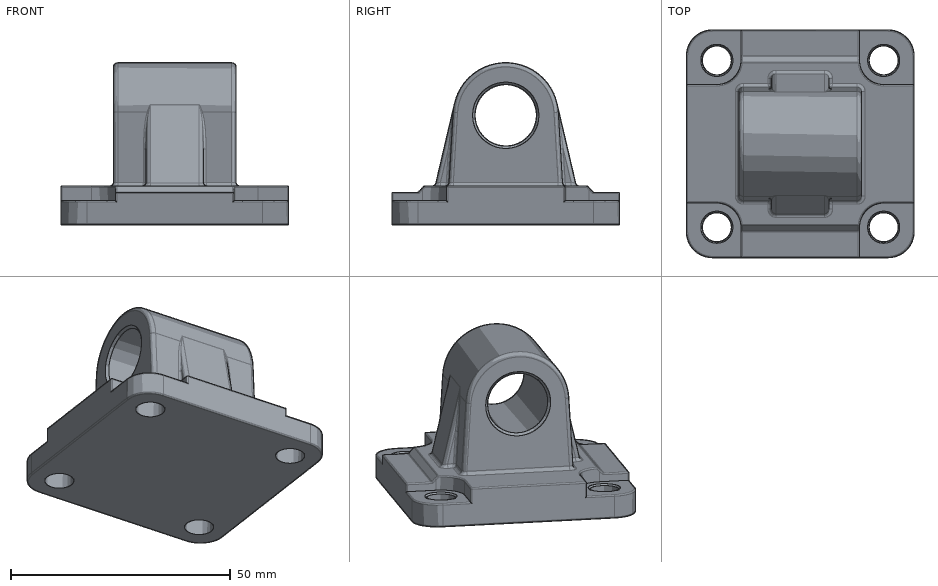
import cadquery as cq
import math

PLATE_SIZE = 52.0
PLATE_HEIGHT = 8.9
PLATE_CORNER_RADIUS = 6.0
EDGE_ROUND = 0.3

SHELF_HEIGHT = 7.45
SLOPE_START = 18.55

HOLE_OFFSET = 19.05
HOLE_DIAMETER = 6.6
HOLE_CHAMFER = 0.35
PAD_HEIGHT = 5.5
PAD_RADIUS = 5.5

LUG_WIDTH = 28.0
LUG_RADIUS = 12.0
LUG_DRAFT = 3.4
LUG_ROUND = 1.0
BORE_HEIGHT = 25.0
BORE_DIAMETER = 14.0
BORE_CHAMFER = 0.55

RIB_WIDTH = 13.1
RIB_SLOPE = 13.2
RIB_ROUND = 1.0
RIB_JOINT_FILLET = 0.6
RIB_SINK = 0.005

BASE_FILLET = 0.85
EMBED_DEPTH = 2.6

TOLERANCE = 0.005

FOOT_HEIGHT = PLATE_HEIGHT - EMBED_DEPTH
HALF_PLATE = PLATE_SIZE / 2
SLOPE_END = SLOPE_START + PLATE_HEIGHT - SHELF_HEIGHT
PAD_WALL = HOLE_OFFSET - PAD_RADIUS
SIGNS = [(-1, -1), (-1, 1), (1, -1), (1, 1)]
HOLE_POINTS = [(sx * HOLE_OFFSET, sy * HOLE_OFFSET) for sx, sy in SIGNS]


def shelf_cutter():
    """Material removed above the shelf on the +Y side."""
    return (
        cq.Workplane("YZ")
        .moveTo(SLOPE_START, PLATE_HEIGHT)
        .lineTo(SLOPE_END, SHELF_HEIGHT)
        .lineTo(HALF_PLATE, SHELF_HEIGHT)
        .lineTo(HALF_PLATE, PLATE_HEIGHT)
        .close()
        .extrude(HALF_PLATE, both=True)
    )


def pad_cutter(sx, sy):
    """Material removed above the pad in one corner; its inner corner is an arc around the hole."""
    return (
        cq.Workplane("XY", origin=(0, 0, PAD_HEIGHT))
        .moveTo(sx * PAD_WALL, sy * HALF_PLATE)
        .lineTo(sx * PAD_WALL, sy * HOLE_OFFSET)
        .radiusArc((sx * HOLE_OFFSET, sy * PAD_WALL), -sx * sy * PAD_RADIUS)
        .lineTo(sx * HALF_PLATE, sy * PAD_WALL)
        .lineTo(sx * HALF_PLATE, sy * HALF_PLATE)
        .close()
        .extrude(PLATE_HEIGHT - PAD_HEIGHT)
    )


def is_level(edge, height):
    """True for an edge that lies flat at the given height."""
    box = edge.BoundingBox()
    return abs(box.zmin - height) < TOLERANCE and abs(box.zmax - height) < TOLERANCE


def is_rounded(edge):
    """True for every plate edge except the feet of the pad walls and the smooth upright seams."""
    center = edge.Center()
    near, far = sorted((abs(center.x), abs(center.y)))
    box = edge.BoundingBox()
    if box.xlen < TOLERANCE and box.ylen < TOLERANCE:
        return abs(near - PAD_WALL) < TOLERANCE and abs(far - HALF_PLATE) < TOLERANCE
    if is_level(edge, PAD_HEIGHT):
        on_side = abs(far - HALF_PLATE) < TOLERANCE
        on_plate_corner = near > HOLE_OFFSET
        return on_side or on_plate_corner
    return True


def make_plate():
    """Square plate with two shelves, four corner pads and softened edges."""
    plate = (
        cq.Workplane("XY")
        .rect(PLATE_SIZE, PLATE_SIZE)
        .extrude(PLATE_HEIGHT)
        .edges("|Z")
        .fillet(PLATE_CORNER_RADIUS)
    )
    shelf = shelf_cutter()
    plate = plate.cut(shelf).cut(shelf.mirror("XZ"))
    for sx, sy in SIGNS:
        plate = plate.cut(pad_cutter(sx, sy))
    rounded_edges = [edge for edge in plate.edges().vals() if is_rounded(edge)]
    return plate.newObject(rounded_edges).fillet(EDGE_ROUND)


def tapered_body(radius, slope_degrees, width, edge_round):
    """Round-topped body along X; its flanks are tangent to the top circle and lean out downward."""
    slope = math.radians(slope_degrees)
    tangent_y = radius * math.cos(slope)
    tangent_z = BORE_HEIGHT + radius * math.sin(slope)
    foot_y = tangent_y + (tangent_z - FOOT_HEIGHT) * math.tan(slope)
    body = (
        cq.Workplane("YZ")
        .moveTo(-foot_y, FOOT_HEIGHT)
        .lineTo(-tangent_y, tangent_z)
        .threePointArc((0, BORE_HEIGHT + radius), (tangent_y, tangent_z))
        .lineTo(foot_y, FOOT_HEIGHT)
        .close()
        .extrude(width / 2, both=True)
    )
    return body.faces("<X or >X").edges("not <Z").fillet(edge_round)


def make_lug():
    """Lug with a rib on each flank and a concave fillet along the sides of the ribs."""
    body = tapered_body(LUG_RADIUS, LUG_DRAFT, LUG_WIDTH, LUG_ROUND)
    ribs = tapered_body(LUG_RADIUS - RIB_SINK, RIB_SLOPE, RIB_WIDTH, RIB_ROUND)
    quadrant = cq.Workplane("XY").box(PLATE_SIZE, PLATE_SIZE, PLATE_SIZE, centered=False)
    quarter = body.union(ribs).intersect(quadrant)
    joint = [
        edge
        for edge in quarter.edges("%LINE").vals()
        if abs(edge.Center().x - RIB_WIDTH / 2) < TOLERANCE
        and edge.Center().y < LUG_RADIUS + EMBED_DEPTH / 2
        and not is_level(edge, FOOT_HEIGHT)
    ]
    quarter = quarter.newObject(joint).fillet(RIB_JOINT_FILLET)
    half = quarter.union(quarter.mirror("YZ"))
    return half.union(half.mirror("XZ"))


def blend_base(part):
    """Fillet the closed loop where the lug and its ribs rise from the plate."""
    loop = [
        edge
        for edge in part.edges().vals()
        if is_level(edge, PLATE_HEIGHT)
        and abs(edge.Center().x) < LUG_WIDTH / 2 + TOLERANCE
        and abs(edge.Center().y) < SLOPE_START - EDGE_ROUND
    ]
    return part.newObject(loop).fillet(BASE_FILLET)


def drill_screw_holes(part):
    """Through holes in the corners, chamfered on the pads."""
    screws = cq.Workplane("XY").pushPoints(HOLE_POINTS).circle(HOLE_DIAMETER / 2).extrude(PLATE_HEIGHT)
    part = part.cut(screws)
    for x, y in HOLE_POINTS:
        rim = cq.selectors.NearestToPointSelector((x, y, PAD_HEIGHT))
        part = part.edges("%CIRCLE").edges(rim).chamfer(HOLE_CHAMFER)
    return part


def bore_lug(part):
    """Bore along X through the lug, chamfered at both mouths."""
    bore = (
        cq.Workplane("YZ")
        .center(0, BORE_HEIGHT)
        .circle(BORE_DIAMETER / 2)
        .extrude(LUG_WIDTH / 2, both=True)
    )
    part = part.cut(bore)
    for x in (-LUG_WIDTH / 2, LUG_WIDTH / 2):
        rim = cq.selectors.NearestToPointSelector((x, 0, BORE_HEIGHT))
        part = part.edges("%CIRCLE").edges(rim).chamfer(BORE_CHAMFER)
    return part


bracket = blend_base(make_plate().union(make_lug()))
result = bore_lug(drill_screw_holes(bracket))